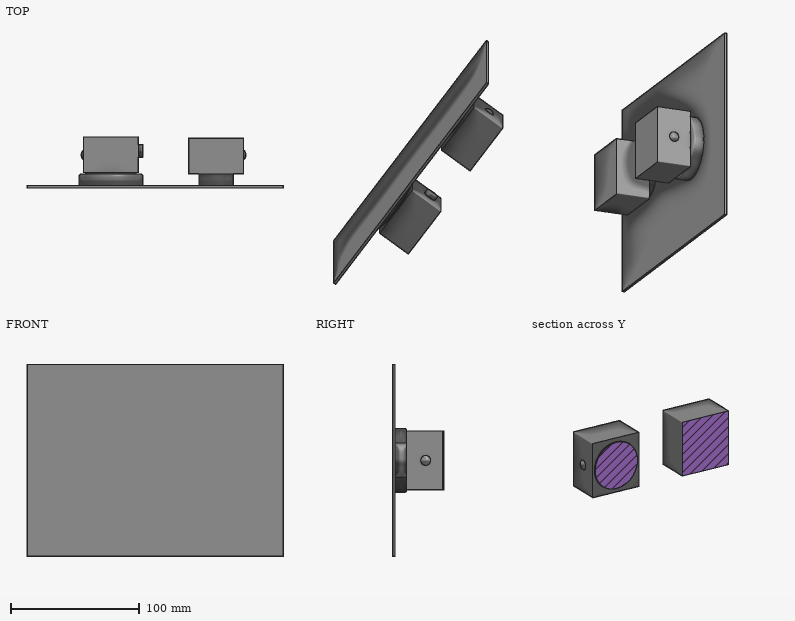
import cadquery as cq
import math

PLATE_WIDTH = 200.0
PLATE_HEIGHT = 150.0
PLATE_THICKNESS = 2.0

HOUSING_WIDTH = 43.0
HOUSING_HEIGHT = 46.0
HOUSING_DEPTH = 28.0
HOUSING_CORNER_RADIUS = 0.6

LARGE_X = -34.6
FLANGE_DIAMETER = 50.0
FLANGE_DEPTH = 9.0
FLANGE_EDGE_RADIUS = 2.0
NECK_DIAMETER = 39.5
NECK_DEPTH = 1.01
VENT_WIDTH = 2.0
VENT_HEIGHT = 0.5
VENT_LENGTH = 2.0

SMALL_X = 47.6
STEM_DIAMETER = 27.0
STEM_DEPTH = 9.0

DOME_DIAMETER = 7.8
DOME_HEIGHT = 1.75
DOME_Y = 25.8
KNOB_DIAMETER = 10.0
KNOB_LENGTH = 3.5
KNOB_EDGE_RADIUS = 0.5
KNOB_Y = 29.0

FLANGE_BACK = PLATE_THICKNESS + FLANGE_DEPTH
LARGE_HOUSING_FRONT = FLANGE_BACK + NECK_DEPTH
SMALL_HOUSING_FRONT = PLATE_THICKNESS + STEM_DEPTH
HALF_HOUSING = HOUSING_WIDTH / 2


def plane_facing_back(x, y):
    """Sketch plane centred on an instrument axis, extruding toward +Y."""
    return cq.Workplane(cq.Plane(origin=(x, y, 0), xDir=(1, 0, 0), normal=(0, 1, 0)))


def plane_facing_right(x, y):
    """Sketch plane on the side of a housing, extruding toward +X."""
    return cq.Workplane("YZ", origin=(x, y, 0))


def make_plate():
    return plane_facing_back(0, 0).rect(PLATE_WIDTH, PLATE_HEIGHT).extrude(PLATE_THICKNESS)


def make_housing(x, front_y):
    block = plane_facing_back(x, front_y).rect(HOUSING_WIDTH, HOUSING_HEIGHT).extrude(HOUSING_DEPTH)
    return block.edges("|Y").fillet(HOUSING_CORNER_RADIUS)


def make_flange():
    ring = plane_facing_back(LARGE_X, PLATE_THICKNESS).circle(FLANGE_DIAMETER / 2).extrude(FLANGE_DEPTH)
    ring = ring.faces(">Y").edges().fillet(FLANGE_EDGE_RADIUS)
    neck = plane_facing_back(LARGE_X, FLANGE_BACK).circle(NECK_DIAMETER / 2).extrude(NECK_DEPTH)
    return ring.union(neck)


def make_stem():
    return plane_facing_back(SMALL_X, PLATE_THICKNESS).circle(STEM_DIAMETER / 2).extrude(STEM_DEPTH)


def make_dome(base_x, direction):
    """Spherical cap on a housing side; direction is +1 for +X and -1 for -X."""
    sphere_radius = ((DOME_DIAMETER / 2) ** 2 + DOME_HEIGHT**2) / (2 * DOME_HEIGHT)
    half_angle = math.asin(DOME_DIAMETER / 2 / sphere_radius) / 2
    centre_x = DOME_HEIGHT - sphere_radius
    mid_x = centre_x + sphere_radius * math.cos(half_angle)
    mid_y = sphere_radius * math.sin(half_angle)
    half_profile = (
        cq.Workplane("XY", origin=(base_x, DOME_Y, 0))
        .lineTo(direction * DOME_HEIGHT, 0)
        .threePointArc((direction * mid_x, mid_y), (0, DOME_DIAMETER / 2))
        .close()
    )
    return half_profile.revolve(360, (0, 0, 0), (1, 0, 0))


def make_knob():
    """Round knob with a softened end on the +X side of the large housing."""
    knob = plane_facing_right(LARGE_X + HALF_HOUSING, KNOB_Y).circle(KNOB_DIAMETER / 2).extrude(KNOB_LENGTH)
    return knob.faces(">X").edges().fillet(KNOB_EDGE_RADIUS)


def make_vent():
    """Rectangular groove in the -X side of the flange, lying on the plate."""
    flange_side_x = LARGE_X - FLANGE_DIAMETER / 2
    vent_y = PLATE_THICKNESS + VENT_HEIGHT / 2
    return plane_facing_right(flange_side_x, vent_y).rect(VENT_HEIGHT, VENT_WIDTH).extrude(VENT_LENGTH)


result = (
    make_flange()
    .cut(make_vent())
    .union(make_plate())
    .union(make_housing(LARGE_X, LARGE_HOUSING_FRONT))
    .union(make_dome(LARGE_X - HALF_HOUSING, -1))
    .union(make_knob())
    .union(make_stem())
    .union(make_housing(SMALL_X, SMALL_HOUSING_FRONT))
    .union(make_dome(SMALL_X + HALF_HOUSING, 1))
)